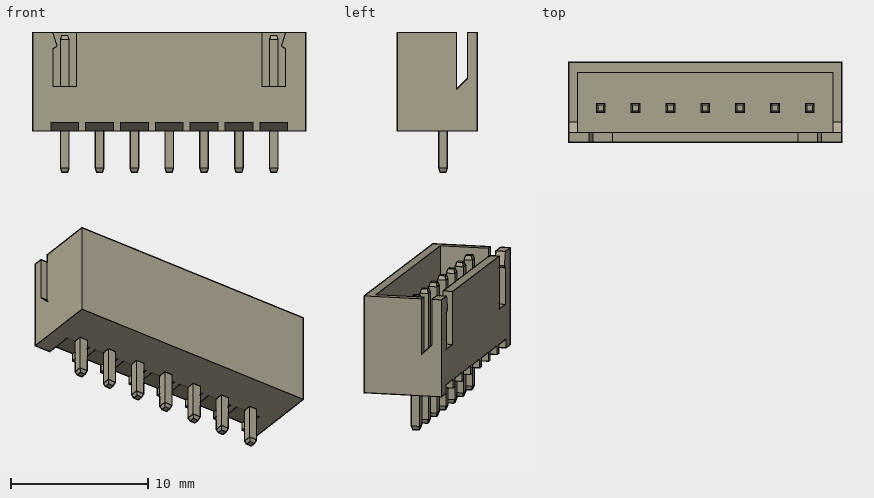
import cadquery as cq


PIN_COUNT = 7
PITCH = 2.54
PIN_SIZE = 0.64
PIN_TAIL = 3.0
PIN_TOP_RECESS = 0.23
TIP_LENGTH = 0.3
TIP_SIZE = 0.43

LENGTH = 19.91
DEPTH = 5.84
HEIGHT = 10.21 - PIN_TAIL
ROW_TO_FRONT = 2.5
END_WALL = 0.66
LONG_WALL = 0.73
FLOOR = 0.7

SIDE_SLOT_WIDTH = 0.77
SIDE_SLOT_DEPTH = 4.12
FRONT_SLOT_WIDTH = 1.74
FRONT_SLOT_DEPTH = 3.94
BARB_REACH = 0.31
BARB_TIP_DEPTH = 1.0
BARB_END_DEPTH = 1.22

NOTCH_WIDTH = 2.03
NOTCH_HEIGHT = 0.65

FRONT = -ROW_TO_FRONT
BACK = FRONT + DEPTH
NOTCH_DEPTH = ROW_TO_FRONT - PIN_SIZE / 2
CAVITY_FRONT = FRONT + LONG_WALL
CAVITY_BACK = BACK - LONG_WALL
HALF_ROW = (PIN_COUNT - 1) * PITCH / 2
PIN_POSITIONS = [i * PITCH - HALF_ROW for i in range(PIN_COUNT)]


def box(x_min, x_max, y_min, y_max, z_min, z_max):
    """Axis-aligned box between two corners."""
    size = (x_max - x_min, y_max - y_min, z_max - z_min)
    return cq.Workplane("XY").box(*size, centered=False).translate((x_min, y_min, z_min))


def shell():
    """Housing block with its open cavity."""
    outer = box(-LENGTH / 2, LENGTH / 2, FRONT, BACK, 0, HEIGHT)
    half_cavity = LENGTH / 2 - END_WALL
    return outer.cut(box(-half_cavity, half_cavity, CAVITY_FRONT, CAVITY_BACK, FLOOR, HEIGHT))


def side_slots():
    """Slot through both end walls, its bottom sloping down away from the front wall."""
    slot_back = CAVITY_FRONT + SIDE_SLOT_WIDTH
    slot_bottom = HEIGHT - SIDE_SLOT_DEPTH
    profile = [
        (CAVITY_FRONT, HEIGHT),
        (CAVITY_FRONT, slot_bottom + SIDE_SLOT_WIDTH),
        (slot_back, slot_bottom),
        (slot_back, HEIGHT),
    ]
    return cq.Workplane("YZ").polyline(profile).close().extrude(LENGTH / 2, both=True)


def front_slot():
    """Left slot in the front wall, narrowed near the rim by a barb on its outer side."""
    outer_x = -HALF_ROW - FRONT_SLOT_WIDTH / 2
    inner_x = outer_x + FRONT_SLOT_WIDTH
    bottom = HEIGHT - FRONT_SLOT_DEPTH
    profile = [
        (outer_x, HEIGHT),
        (outer_x + BARB_REACH, HEIGHT - BARB_TIP_DEPTH),
        (outer_x, HEIGHT - BARB_END_DEPTH),
        (outer_x, bottom),
        (inner_x, bottom),
        (inner_x, HEIGHT),
    ]
    plane = cq.Workplane("XZ", origin=(0, CAVITY_FRONT, 0))
    return plane.polyline(profile).close().extrude(LONG_WALL)


def notch(x):
    """Wedge under the front edge, its sloped roof meeting the bottom face at the pins."""
    profile = [(FRONT, 0), (FRONT, NOTCH_HEIGHT), (FRONT + NOTCH_DEPTH, 0)]
    plane = cq.Workplane("YZ", origin=(x, 0, 0))
    return plane.polyline(profile).close().extrude(NOTCH_WIDTH / 2, both=True)


def pin(x):
    """Square pin with a tapered tip at each end."""
    shank_bottom = TIP_LENGTH - PIN_TAIL
    shank_top = HEIGHT - PIN_TOP_RECESS - TIP_LENGTH
    half = PIN_SIZE / 2
    body = box(x - half, x + half, -half, half, shank_bottom, shank_top)
    for z, direction in ((shank_top, 1), (shank_bottom, -1)):
        tip = (
            cq.Workplane("XY", origin=(x, 0, z))
            .rect(PIN_SIZE, PIN_SIZE)
            .workplane(offset=direction * TIP_LENGTH)
            .rect(TIP_SIZE, TIP_SIZE)
            .loft()
        )
        body = body.union(tip)
    return body


left_front_slot = front_slot()
result = shell().cut(side_slots()).cut(left_front_slot).cut(left_front_slot.mirror("YZ"))
for pin_x in PIN_POSITIONS:
    result = result.cut(notch(pin_x)).union(pin(pin_x))